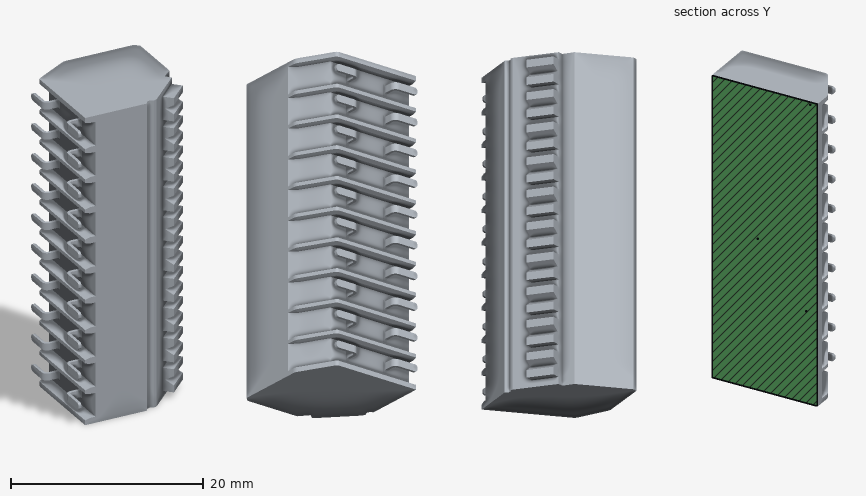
import cadquery as cq
import math


pole_count = 10
pole_pitch = 3.5
row_length = 35.7
first_pole_z = (row_length - (pole_count - 1) * pole_pitch) / 2
pole_centres = [first_pole_z + pole_pitch * i for i in range(pole_count)]

width = 12.7
depth = 12.9
flank_top_y = 4.13
flank_angle = math.radians(60)
flank_foot_x = flank_top_y / math.tan(flank_angle)
flank_top_radius = 1.2
flank_foot_radius = 0.5
back_chamfer = 0.5
top_end_x = 7.0
button_height = 1.2
button_length = 3.1
button_peak_y = 13.2
diagonal_share = math.sqrt(0.5)
shoulder_x = 8.55
shoulder_y = button_peak_y - button_height * diagonal_share
valley_x = 7.93
valley_y = 11.83
slope_end_x = 12.3
slope_end_y = shoulder_y - (slope_end_x - shoulder_x)
lip_x = 12.4
lip_y = 8.25
notch_x = 12.22
notch_y = 7.8
notch_foot_x = 12.33
notch_foot_y = 7.48
ledge_y = 7.26

pocket_floor_y = 1.2
pocket_top_y = 5.35
pocket_mouth = 3.1
pocket_root = 2.78
fin_bevel = 0.6

button_width = 2.7
groove_width = 1.06
groove_depth = 0.95

pin_thickness = 0.34
pin_width = 0.8
pin_root_width = 1.5
pin_root_radius = (pin_root_width - pin_width) / 2
pin_outer_bend = 0.65
pin_inner_bend = pin_outer_bend - pin_thickness
pin_bottom_y = -0.62
pin_tip_radius = 0.32
left_pin_x = 4.77
left_pin_tip_x = 1.83
right_pin_x = 9.37
right_pin_tip_x = 12.4


def make_housing():
    """Housing outline run along the whole row, with both ends of the flank rounded."""
    outline = (
        cq.Workplane("XY")
        .moveTo(0, flank_top_y)
        .lineTo(flank_foot_x, 0)
        .lineTo(width, 0)
        .lineTo(width, ledge_y)
        .lineTo(notch_foot_x, notch_foot_y)
        .lineTo(notch_x, notch_y)
        .lineTo(lip_x, lip_y)
        .lineTo(slope_end_x, slope_end_y)
        .lineTo(shoulder_x, shoulder_y)
        .lineTo(valley_x, valley_y)
        .lineTo(top_end_x, depth)
        .lineTo(back_chamfer, depth)
        .lineTo(0, depth - back_chamfer)
        .close()
    )
    housing = outline.extrude(row_length)
    flank_top = cq.selectors.NearestToPointSelector((0, flank_top_y, row_length / 2))
    housing = housing.edges(flank_top).fillet(flank_top_radius)
    flank_foot = cq.selectors.NearestToPointSelector((flank_foot_x, 0, row_length / 2))
    return housing.edges(flank_foot).fillet(flank_foot_radius)


def make_pocket(z_centre):
    """Pocket with a floor, a wall parallel to the flank, and fin sides bevelled to their edges."""
    floor_start_x = (pocket_top_y - pocket_floor_y) / math.tan(flank_angle)
    pocket_points = [
        (0, 0),
        (width, 0),
        (width, pocket_floor_y),
        (floor_start_x, pocket_floor_y),
        (0, pocket_top_y),
    ]
    lower_side = cq.Workplane("XY").workplane(offset=z_centre - pocket_mouth / 2)
    pocket = lower_side.polyline(pocket_points).close().extrude(pocket_mouth)

    cheek_points = [
        (0, flank_top_y),
        (flank_foot_x, 0),
        (width + 2 * fin_bevel, 0),
        (width + 2 * fin_bevel, depth),
        (0, depth),
    ]
    cheek_thickness = (pocket_mouth - pocket_root) / 2
    bevel_angle = math.degrees(math.atan2(fin_bevel, cheek_thickness))
    for side in (-1, 1):
        wall = cq.Workplane("XY").workplane(offset=z_centre + side * pocket_mouth / 2)
        cheek = wall.polyline(cheek_points).close().extrude(-side * cheek_thickness, taper=bevel_angle)
        pocket = pocket.cut(cheek)
    return pocket


def make_button(z_centre):
    """Push button on the 45 degree face, with a V groove along its outer side."""
    button_plane = cq.Plane(
        origin=(shoulder_x, shoulder_y, z_centre),
        xDir=(0, 0, -1),
        normal=(diagonal_share, -diagonal_share, 0),
    )
    section = [
        (-button_width / 2, 0),
        (button_width / 2, 0),
        (button_width / 2, button_height),
        (groove_width / 2, button_height),
        (0, button_height - groove_depth),
        (-groove_width / 2, button_height),
        (-button_width / 2, button_height),
    ]
    return cq.Workplane(button_plane).polyline(section).close().extrude(button_length)


def make_pin(upright_x, tip_x, z_centre):
    """Upright strip bent into a foot that points from upright_x towards tip_x."""
    toward = math.copysign(1, tip_x - upright_x)
    arc_inset = 1 - diagonal_share
    bend_y = pin_bottom_y + pin_outer_bend
    bend_x = upright_x + toward * pin_outer_bend
    inner_x = upright_x + toward * pin_thickness
    foot_top_y = pin_bottom_y + pin_thickness
    outer_inset = pin_outer_bend * arc_inset
    inner_inset = pin_inner_bend * arc_inset
    outer_mid = (upright_x + toward * outer_inset, pin_bottom_y + outer_inset)
    inner_mid = (inner_x + toward * inner_inset, foot_top_y + inner_inset)
    pin = (
        cq.Workplane("XY")
        .workplane(offset=z_centre - pin_width / 2)
        .moveTo(upright_x, pocket_floor_y)
        .lineTo(upright_x, bend_y)
        .threePointArc(outer_mid, (bend_x, pin_bottom_y))
        .lineTo(tip_x, pin_bottom_y)
        .lineTo(tip_x, foot_top_y)
        .lineTo(bend_x, foot_top_y)
        .threePointArc(inner_mid, (inner_x, bend_y))
        .lineTo(inner_x, pocket_floor_y)
        .close()
        .extrude(pin_width)
    )
    tip_side = ">X" if toward > 0 else "<X"
    pin = pin.faces(tip_side).edges("|Y").fillet(pin_tip_radius)

    root_box = cq.Workplane("XY").box(pin_thickness, pin_root_radius, pin_root_width)
    root_x = upright_x + toward * pin_thickness / 2
    root = root_box.translate((root_x, pocket_floor_y - pin_root_radius / 2, z_centre))
    for side in (-1, 1):
        round_cut = (
            cq.Workplane("YZ")
            .center(pocket_floor_y - pin_root_radius, z_centre + side * pin_root_width / 2)
            .circle(pin_root_radius)
            .extrude(width)
        )
        root = root.cut(round_cut)
    return pin.union(root)


result = make_housing()
for pole_z in pole_centres:
    result = result.cut(make_pocket(pole_z))
for pole_z in pole_centres:
    result = result.union(make_button(pole_z))
    result = result.union(make_pin(left_pin_x, left_pin_tip_x, pole_z))
    result = result.union(make_pin(right_pin_x, right_pin_tip_x, pole_z))